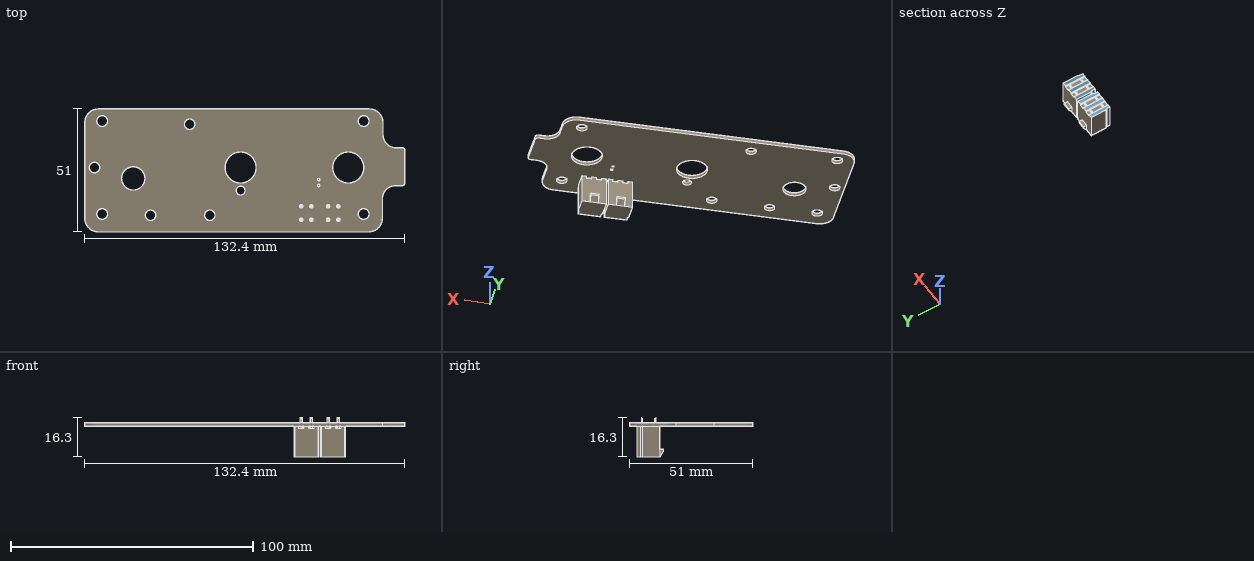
import cadquery as cq

LENGTH = 132.4
WIDTH = 51.0
BOARD_THICKNESS = 1.6
LEFT_X = -LENGTH / 2
TAB_END_X = LENGTH / 2
BACK_Y = WIDTH / 2
FRONT_Y = -WIDTH / 2
BACK_SHOULDER_X = 57.2
FRONT_SHOULDER_X = 56.9
TAB_BACK_Y = 9.4
TAB_FRONT_Y = -6.4
CORNER_RADIUS = 5.8
BACK_NECK_RADIUS = 5.3
FRONT_NECK_RADIUS = 5.3
TAB_CORNER_RADIUS = 1.2

AXIS_Y = 1.2
MOUNT_DIAMETER = 4.4
MOUNT_LEFT_X = -58.9
MOUNT_RIGHT_X = 49.1
MOUNT_SPACING_Y = 38.4
MOUNT_CENTRES = [
    (x, AXIS_Y + side * MOUNT_SPACING_Y / 2)
    for x in (MOUNT_LEFT_X, MOUNT_RIGHT_X)
    for side in (-1, 1)
]
FIXING_DIAMETER = 4.2
FIXING_CENTRES = [(-62.1, AXIS_Y), (-38.9, -18.5), (-14.4, -18.5), (-22.8, 19.0)]
WINDOW_DIAMETER = 12.7
WINDOW_CENTRES = [(-1.7, AXIS_Y), (42.8, AXIS_Y)]
SIDE_OPENING_DIAMETER = 9.5
SIDE_OPENING_CENTRES = [(-46.1, -3.3)]
LOCATING_DIAMETER = 3.6
LOCATING_CENTRES = [(-1.7, -8.3)]
LEAD_DIAMETER = 0.9
LEAD_CENTRES = [(30.6, -3.8), (30.6, -6.2)]

CONNECTOR_CENTRES_X = [25.4, 36.5]
HOUSING_WIDTH = 10.3
HOUSING_HEIGHT = 12.7
HOUSING_BACK_Y = -13.0
HOUSING_FRONT_Y = -22.5
FRONT_INSET = 0.4
INSET_BACK_Y = -20.1
INSET_FRONT_Y = -20.9
PIN_PITCH_X = 4.2
PIN_ROWS_Y = [-20.4, -14.8]
PIN_WIDTH = 1.0
PIN_DEPTH = 0.5
PIN_PROTRUSION = 2.0
PIN_TIP_HEIGHT = 0.4
PIN_TIP_DEPTH = 0.3
PIN_HOLE_DIAMETER = 1.5
CHANNEL_WIDTH = 2.1
CHANNEL_DEPTH = 0.8
LATCH_REACH = 1.6
LATCH_HEIGHT = 3.3
LATCH_NOSE_HEIGHT = 0.8
LATCH_WIDTH = 3.5


def pin_columns(centre_x):
    return [centre_x - PIN_PITCH_X / 2, centre_x + PIN_PITCH_X / 2]


def round_holes(centres, diameter):
    return cq.Workplane("XY").pushPoints(centres).circle(diameter / 2).extrude(BOARD_THICKNESS)


def make_board():
    outline = [
        (LEFT_X, FRONT_Y),
        (FRONT_SHOULDER_X, FRONT_Y),
        (FRONT_SHOULDER_X, TAB_FRONT_Y),
        (TAB_END_X, TAB_FRONT_Y),
        (TAB_END_X, TAB_BACK_Y),
        (BACK_SHOULDER_X, TAB_BACK_Y),
        (BACK_SHOULDER_X, BACK_Y),
        (LEFT_X, BACK_Y),
    ]
    board = cq.Workplane("XY").polyline(outline).close().extrude(BOARD_THICKNESS)

    rounded_corners = [
        ((LEFT_X, FRONT_Y), CORNER_RADIUS),
        ((FRONT_SHOULDER_X, FRONT_Y), CORNER_RADIUS),
        ((FRONT_SHOULDER_X, TAB_FRONT_Y), FRONT_NECK_RADIUS),
        ((TAB_END_X, TAB_FRONT_Y), TAB_CORNER_RADIUS),
        ((TAB_END_X, TAB_BACK_Y), TAB_CORNER_RADIUS),
        ((BACK_SHOULDER_X, TAB_BACK_Y), BACK_NECK_RADIUS),
        ((BACK_SHOULDER_X, BACK_Y), CORNER_RADIUS),
        ((LEFT_X, BACK_Y), CORNER_RADIUS),
    ]
    for (x, y), radius in rounded_corners:
        corner_edge = cq.selectors.NearestToPointSelector((x, y, BOARD_THICKNESS / 2))
        board = board.edges("|Z").edges(corner_edge).fillet(radius)

    pin_centres = [
        (x, y)
        for centre_x in CONNECTOR_CENTRES_X
        for x in pin_columns(centre_x)
        for y in PIN_ROWS_Y
    ]
    hole_groups = [
        (MOUNT_CENTRES, MOUNT_DIAMETER),
        (FIXING_CENTRES, FIXING_DIAMETER),
        (WINDOW_CENTRES, WINDOW_DIAMETER),
        (SIDE_OPENING_CENTRES, SIDE_OPENING_DIAMETER),
        (LOCATING_CENTRES, LOCATING_DIAMETER),
        (LEAD_CENTRES, LEAD_DIAMETER),
        (pin_centres, PIN_HOLE_DIAMETER),
    ]
    for centres, diameter in hole_groups:
        board = board.cut(round_holes(centres, diameter))
    return board


def make_housing(centre_x):
    half_width = HOUSING_WIDTH / 2
    narrow_half_width = half_width - FRONT_INSET
    footprint = [
        (half_width, HOUSING_BACK_Y),
        (half_width, INSET_BACK_Y),
        (narrow_half_width, INSET_FRONT_Y),
        (narrow_half_width, HOUSING_FRONT_Y),
        (-narrow_half_width, HOUSING_FRONT_Y),
        (-narrow_half_width, INSET_FRONT_Y),
        (-half_width, INSET_BACK_Y),
        (-half_width, HOUSING_BACK_Y),
    ]
    return (
        cq.Workplane("XY", origin=(centre_x, 0, -HOUSING_HEIGHT))
        .polyline(footprint).close().extrude(HOUSING_HEIGHT)
    )


def make_channel(column_x):
    """Groove in the housing top that clears one column of pins, front to back."""
    channel_length = HOUSING_BACK_Y - HOUSING_FRONT_Y
    return (
        cq.Workplane("XY")
        .box(CHANNEL_WIDTH, channel_length, CHANNEL_DEPTH, centered=(True, False, False))
        .translate((column_x, HOUSING_FRONT_Y, -CHANNEL_DEPTH))
    )


def make_latch(centre_x):
    """Wedge on the back face whose slope runs out at the bottom of the housing."""
    top_z = LATCH_HEIGHT - HOUSING_HEIGHT
    tip_y = HOUSING_BACK_Y + LATCH_REACH
    profile = [
        (HOUSING_BACK_Y, -HOUSING_HEIGHT),
        (HOUSING_BACK_Y, top_z),
        (tip_y, top_z),
        (tip_y, top_z - LATCH_NOSE_HEIGHT),
    ]
    return (
        cq.Workplane("YZ", origin=(centre_x, 0, 0))
        .polyline(profile).close().extrude(LATCH_WIDTH / 2, both=True)
    )


def make_pin(x, y, outward):
    """Flat pin through the board; its tip slopes up to the outward side (+1 back, -1 front)."""
    bottom_z = -CHANNEL_DEPTH
    top_z = BOARD_THICKNESS + PIN_PROTRUSION
    outer_y = y + outward * PIN_DEPTH / 2
    inner_y = y - outward * PIN_DEPTH / 2
    profile = [
        (outer_y, bottom_z),
        (outer_y, top_z),
        (outer_y - outward * PIN_TIP_DEPTH, top_z - PIN_TIP_HEIGHT),
        (inner_y, top_z - PIN_TIP_HEIGHT),
        (inner_y, bottom_z),
    ]
    return (
        cq.Workplane("YZ", origin=(x, 0, 0))
        .polyline(profile).close().extrude(PIN_WIDTH / 2, both=True)
    )


def make_connector(centre_x):
    front_row_y, back_row_y = PIN_ROWS_Y
    connector = make_housing(centre_x).union(make_latch(centre_x))
    for column_x in pin_columns(centre_x):
        connector = connector.cut(make_channel(column_x))
        connector = connector.union(make_pin(column_x, front_row_y, -1))
        connector = connector.union(make_pin(column_x, back_row_y, 1))
    return connector


board = make_board()
connectors = [make_connector(centre_x) for centre_x in CONNECTOR_CENTRES_X]

bodies = [body.solids().val() for body in [board, *connectors]]
result = cq.Compound.makeCompound(bodies)